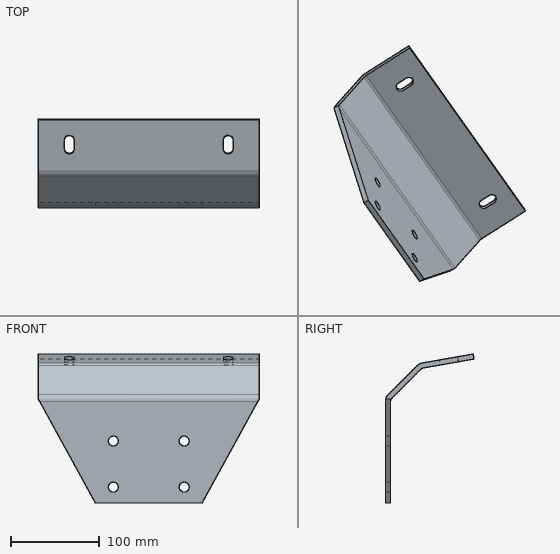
import cadquery as cq
import math

width = 250.0
thickness = 6.0
inner_bend_radius = 5.0
outer_bend_radius = inner_bend_radius + thickness

front_length = 115.0
middle_length = 46.2
top_length = 58.5
front_slope = 90.0
middle_slope = 45.0
top_slope = 10.0

bottom_width = 120.5
taper_height = 118.0

hole_diameter = 11.0
hole_spacing_x = 80.0
hole_spacing_z = 52.0
lower_hole_height = 18.2

slot_width = 11.0
slot_length = 21.0
slot_spacing = 179.5
slot_to_end = 28.5


def along(point, slope, distance):
    """Move a (y, z) point by a distance in the direction of a slope."""
    angle = math.radians(slope)
    return (point[0] + distance * math.cos(angle), point[1] + distance * math.sin(angle))


def inward(point, slope, distance):
    """Move a (y, z) point square to a slope, towards the inside of the bends."""
    return along(point, slope - 90, distance)


def bend_points(start, start_slope, end_slope):
    """Return the middle and end points of an outer bend that starts at a point."""
    center = inward(start, start_slope, outer_bend_radius)
    middle = inward(center, (start_slope + end_slope) / 2, -outer_bend_radius)
    end = inward(center, end_slope, -outer_bend_radius)
    return middle, end


bottom = (0.0, 0.0)
front_end = along(bottom, front_slope, front_length)
lower_bend_mid, middle_start = bend_points(front_end, front_slope, middle_slope)
middle_end = along(middle_start, middle_slope, middle_length)
upper_bend_mid, top_start = bend_points(middle_end, middle_slope, top_slope)
top_end = along(top_start, top_slope, top_length)
lower_mid_slope = (front_slope + middle_slope) / 2
upper_mid_slope = (middle_slope + top_slope) / 2


def bent_plate():
    """Full-width plate: the side profile extruded along X."""
    return (
        cq.Workplane("YZ")
        .moveTo(*bottom)
        .lineTo(*front_end)
        .threePointArc(lower_bend_mid, middle_start)
        .lineTo(*middle_end)
        .threePointArc(upper_bend_mid, top_start)
        .lineTo(*top_end)
        .lineTo(*inward(top_end, top_slope, thickness))
        .lineTo(*inward(top_start, top_slope, thickness))
        .threePointArc(
            inward(upper_bend_mid, upper_mid_slope, thickness),
            inward(middle_end, middle_slope, thickness),
        )
        .lineTo(*inward(middle_start, middle_slope, thickness))
        .threePointArc(
            inward(lower_bend_mid, lower_mid_slope, thickness),
            inward(front_end, front_slope, thickness),
        )
        .lineTo(*inward(bottom, front_slope, thickness))
        .close()
        .extrude(width / 2, both=True)
    )


def taper_cut(side):
    """Triangular prism that trims one side (-1 or 1) of the front flange."""
    return (
        cq.Workplane("XZ")
        .polyline([
            (side * bottom_width / 2, 0),
            (side * width / 2, 0),
            (side * width / 2, taper_height),
        ])
        .close()
        .extrude(-top_end[0])
    )


def front_holes():
    """Four round holes through the front flange."""
    return (
        cq.Workplane("XZ", origin=(0, 0, lower_hole_height + hole_spacing_z / 2))
        .rect(hole_spacing_x, hole_spacing_z, forConstruction=True)
        .vertices()
        .circle(hole_diameter / 2)
        .extrude(-thickness)
    )


def top_slots():
    """Two slots square to the top flange, running front to rear."""
    slot_y, slot_z = along(top_end, top_slope, -slot_to_end)
    angle = math.radians(top_slope)
    outer_face = cq.Plane(
        origin=(0, slot_y, slot_z),
        xDir=(1, 0, 0),
        normal=(0, -math.sin(angle), math.cos(angle)),
    )
    return (
        cq.Workplane(outer_face)
        .pushPoints([(-slot_spacing / 2, 0), (slot_spacing / 2, 0)])
        .slot2D(slot_length, slot_width, 90)
        .extrude(-thickness)
    )


result = bent_plate()
for side in (-1, 1):
    result = result.cut(taper_cut(side))
result = result.cut(front_holes()).cut(top_slots())